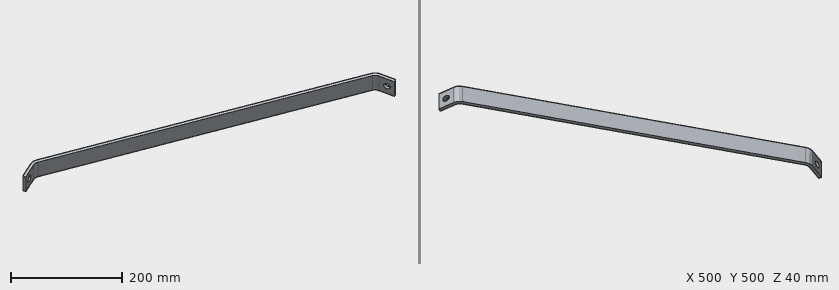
import cadquery as cq
import math

span = 500.0
width = 40.0
thickness = 6.0
inner_radius = 15.0
tab_length = 31.0
hole_diameter = 13.0
hole_inset = 15.0

bend_angle = math.radians(45)
outer_radius = inner_radius + thickness
low = -span / 2
high = span / 2

first_center = (low + outer_radius, low + tab_length)
second_center = (high - tab_length, high - outer_radius)


def bend_point(center, radius, turned):
    """Point on a bend, after turning from the +Y heading by the given angle."""
    return (
        center[0] - radius * math.cos(turned),
        center[1] + radius * math.sin(turned),
    )


def bend_points(center, radius, start):
    """Start, middle and end points of a 45 degree bend."""
    return [bend_point(center, radius, start + bend_angle * part) for part in (0, 0.5, 1)]


def make_strip():
    """Bent flat strip, extruded along its width."""
    outer_first = bend_points(first_center, outer_radius, 0)
    outer_second = bend_points(second_center, outer_radius, bend_angle)
    inner_first = bend_points(first_center, inner_radius, 0)
    inner_second = bend_points(second_center, inner_radius, bend_angle)
    return (
        cq.Workplane("XY")
        .moveTo(low, low)
        .lineTo(*outer_first[0])
        .threePointArc(*outer_first[1:])
        .lineTo(*outer_second[0])
        .threePointArc(*outer_second[1:])
        .lineTo(high, high)
        .lineTo(high, high - thickness)
        .lineTo(*inner_second[2])
        .threePointArc(inner_second[1], inner_second[0])
        .lineTo(*inner_first[2])
        .threePointArc(inner_first[1], inner_first[0])
        .lineTo(low + thickness, low)
        .close()
        .extrude(width / 2, both=True)
    )


def make_hole(start, direction):
    """Cutter for a hole through one tab, starting on the tab's outer face."""
    return cq.Workplane(
        cq.Solid.makeCylinder(hole_diameter / 2, thickness, cq.Vector(*start), cq.Vector(*direction))
    )


first_hole = make_hole((low, low + hole_inset, 0), (1, 0, 0))
second_hole = make_hole((high - hole_inset, high, 0), (0, -1, 0))

result = make_strip().cut(first_hole).cut(second_hole)